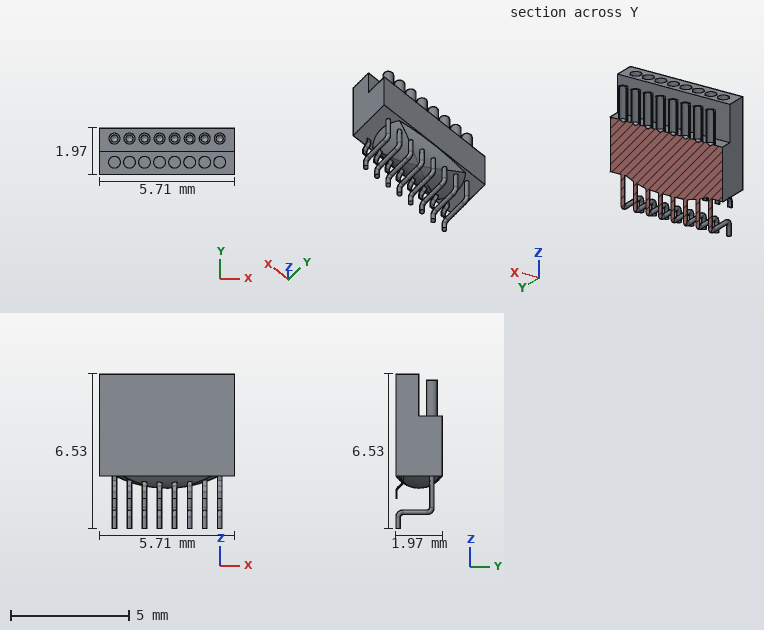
import cadquery as cq
import math

BODY_LENGTH = 5.71
BODY_DEPTH = 1.97
BODY_HEIGHT = 4.31
SHOULDER_HEIGHT = 2.54
TALL_PART_DEPTH = 0.975

CONTACT_COUNT = 8
PITCH = 0.635
CONTACT_X = [(i - (CONTACT_COUNT - 1) / 2) * PITCH for i in range(CONTACT_COUNT)]

SOCKET_DIAMETER = 0.5
SOCKET_Y = 0.525
ROW_SPACING = 1.0
SOCKET_DEPTH = BODY_HEIGHT - SHOULDER_HEIGHT

TUBE_DIAMETER = 0.46
TUBE_TOP_Z = 4.05
TUBE_Y = SOCKET_Y + ROW_SPACING
BORE_DIAMETER = 0.3
BORE_DEPTH = TUBE_TOP_Z - SHOULDER_HEIGHT
DRILL_POINT_ANGLE = 118

WIRE_DIAMETER = 0.2
WIRE_BEND_RADIUS = 0.2
WIRE_RUN_Z = -1.53
WIRE_TIP_Z = -2.22
WIRE_TIP_Y = WIRE_DIAMETER / 2

TAB_WIDTH = 0.2
TAB_THICKNESS = 0.05
TAB_STEP = 0.27
TAB_BEND_TOP_Z = -0.19
TAB_BEND_BOTTOM_Z = -0.68
TAB_TIP_Z = -0.94

BLOB_HALF_LENGTH = 2.18
BLOB_HALF_DEPTH = 0.97
BLOB_DROP = 0.515
SIDE_BULGE_RADIUS = 18.6
END_BULGE_RADIUS = 2.8

OVERLAP = 0.2


def make_body():
    return (
        cq.Workplane("YZ")
        .moveTo(0, 0)
        .lineTo(BODY_DEPTH, 0)
        .lineTo(BODY_DEPTH, SHOULDER_HEIGHT)
        .lineTo(TALL_PART_DEPTH, SHOULDER_HEIGHT)
        .lineTo(TALL_PART_DEPTH, BODY_HEIGHT)
        .lineTo(0, BODY_HEIGHT)
        .close()
        .extrude(BODY_LENGTH / 2, both=True)
    )


def make_socket(x):
    return (
        cq.Workplane("XY", origin=(x, SOCKET_Y, BODY_HEIGHT))
        .circle(SOCKET_DIAMETER / 2)
        .extrude(-SOCKET_DEPTH)
    )


def make_tube(x):
    return (
        cq.Workplane("XY", origin=(x, TUBE_Y, SHOULDER_HEIGHT - OVERLAP))
        .circle(TUBE_DIAMETER / 2)
        .extrude(TUBE_TOP_Z - SHOULDER_HEIGHT + OVERLAP)
    )


def make_bore(x):
    """Drilled hole with a conical bottom, as a solid to cut away."""
    radius = BORE_DIAMETER / 2
    point_length = radius / math.tan(math.radians(DRILL_POINT_ANGLE / 2))
    return (
        cq.Workplane("XZ", origin=(x, TUBE_Y, TUBE_TOP_Z))
        .lineTo(radius, 0)
        .lineTo(radius, -BORE_DEPTH)
        .lineTo(0, -BORE_DEPTH - point_length)
        .close()
        .revolve(360, (0, 0, 0), (0, 1, 0))
    )


def make_wire(x):
    r = WIRE_BEND_RADIUS
    path = (
        cq.Workplane("YZ", origin=(x, 0, 0))
        .moveTo(TUBE_Y, OVERLAP)
        .lineTo(TUBE_Y, WIRE_RUN_Z + r)
        .tangentArcPoint((TUBE_Y - r, WIRE_RUN_Z), relative=False)
        .lineTo(WIRE_TIP_Y + r, WIRE_RUN_Z)
        .tangentArcPoint((WIRE_TIP_Y, WIRE_RUN_Z - r), relative=False)
        .lineTo(WIRE_TIP_Y, WIRE_TIP_Z)
    )
    return (
        cq.Workplane("XY", origin=(x, TUBE_Y, OVERLAP))
        .circle(WIRE_DIAMETER / 2)
        .sweep(path)
    )


def make_tab(x):
    """Strip whose centre line is two equal, opposite arcs between straight ends."""
    tip_y = TAB_THICKNESS / 2
    root_y = tip_y + TAB_STEP
    middle = ((tip_y + root_y) / 2, (TAB_BEND_TOP_Z + TAB_BEND_BOTTOM_Z) / 2)
    path = (
        cq.Workplane("YZ", origin=(x, 0, 0))
        .moveTo(root_y, OVERLAP)
        .lineTo(root_y, TAB_BEND_TOP_Z)
        .tangentArcPoint(middle, relative=False)
        .tangentArcPoint((tip_y, TAB_BEND_BOTTOM_Z), relative=False)
        .lineTo(tip_y, TAB_TIP_Z)
    )
    return (
        cq.Workplane("XY", origin=(x, root_y, OVERLAP))
        .rect(TAB_WIDTH, TAB_THICKNESS)
        .sweep(path)
    )


def make_barrel(plane, half_span, half_length, bulge_radius):
    """Barrel revolved about the first axis of the plane.

    It hangs BLOB_DROP below the underside and is half_span wide to each side there.
    """
    belly_radius = (half_span**2 + BLOB_DROP**2) / (2 * BLOB_DROP)
    axis_z = belly_radius - BLOB_DROP
    narrowing = bulge_radius - math.sqrt(bulge_radius**2 - half_length**2)
    end_radius = belly_radius - narrowing
    return (
        cq.Workplane(plane, origin=(0, BODY_DEPTH / 2, axis_z))
        .moveTo(-half_length, 0)
        .lineTo(-half_length, -end_radius)
        .threePointArc((0, -belly_radius), (half_length, -end_radius))
        .lineTo(half_length, 0)
        .close()
        .revolve(360, (0, 0, 0), (1, 0, 0))
    )


def make_blob():
    sides = make_barrel("XZ", BLOB_HALF_DEPTH, BLOB_HALF_LENGTH, SIDE_BULGE_RADIUS)
    ends = make_barrel("YZ", BLOB_HALF_LENGTH, BLOB_HALF_DEPTH, END_BULGE_RADIUS)
    below_body = (
        cq.Workplane("XY", origin=(0, BODY_DEPTH / 2, 0))
        .rect(BODY_LENGTH, BODY_DEPTH)
        .extrude(-BODY_HEIGHT)
    )
    return sides.intersect(ends).intersect(below_body)


result = make_body()
for contact_x in CONTACT_X:
    result = (
        result.union(make_tube(contact_x))
        .union(make_wire(contact_x))
        .union(make_tab(contact_x))
        .cut(make_socket(contact_x))
        .cut(make_bore(contact_x))
    )
result = result.union(make_blob())